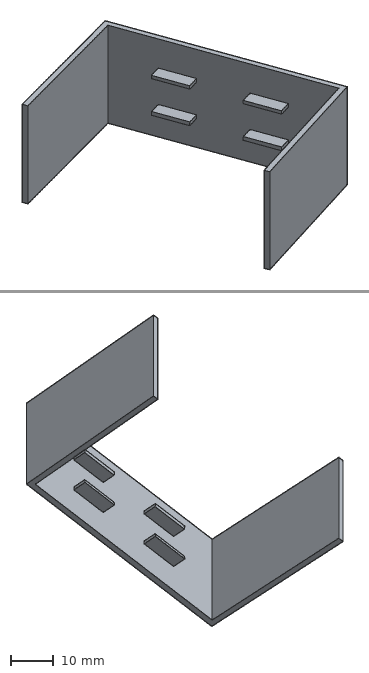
import cadquery as cq
import math

open_width = 64.65
depth = 41.2
height = 27.0
wall = 1.5
splay_angle = 1.0

rib_length = 10.0
rib_projection = 3.55
rib_thickness = 1.0
rib_tip_flat = 0.25
rib_tip_radius = 2.6
rib_spacing_x = 24.0
rib_spacing_z = 10.0

back_y = depth / 2
inner_y = back_y - wall
front_y = -depth / 2

splay = math.radians(splay_angle)
end_rise = wall * math.sin(splay)
half_open = open_width / 2
half_back = half_open - (depth - end_rise) * math.tan(splay)
end_inner_x = half_open - wall * math.cos(splay)
inner_corner_x = end_inner_x - (inner_y - front_y) * math.tan(splay)


def make_channel():
    """Extrude the splayed U outline, centred on Z = 0."""
    right_side = [
        (half_back, back_y),
        (half_open, front_y + end_rise),
        (end_inner_x, front_y),
        (inner_corner_x, inner_y),
    ]
    left_side = [(-x, y) for x, y in reversed(right_side)]
    outline = cq.Workplane("XY").polyline(right_side + left_side).close()
    return outline.extrude(height / 2, both=True)


def arc_drop(run):
    """Fall of the tip arc below the flat strip, at a distance run from the strip along Z."""
    return rib_tip_radius - math.sqrt(rib_tip_radius**2 - run**2)


def make_rib_pair(side):
    """Two ribs above (side = 1) or below (side = -1) the middle, their tips falling away toward it."""
    root_y = inner_y + wall / 2
    tip_y = inner_y - rib_projection
    outer_z = rib_spacing_z / 2 + rib_thickness / 2
    inner_z = outer_z - rib_thickness
    arc_start_z = outer_z - rib_tip_flat
    arc_run = arc_start_z - inner_z
    profile = (
        cq.Workplane("YZ")
        .moveTo(root_y, side * outer_z)
        .lineTo(tip_y, side * outer_z)
        .lineTo(tip_y, side * arc_start_z)
        .threePointArc(
            (tip_y + arc_drop(arc_run / 2), side * (arc_start_z - arc_run / 2)),
            (tip_y + arc_drop(arc_run), side * inner_z),
        )
        .lineTo(root_y, side * inner_z)
        .close()
    )
    rib = profile.extrude(rib_length / 2, both=True)
    left_rib = rib.translate((-rib_spacing_x / 2, 0, 0))
    right_rib = rib.translate((rib_spacing_x / 2, 0, 0))
    return left_rib.union(right_rib)


result = make_channel()
for side in (1, -1):
    result = result.union(make_rib_pair(side))